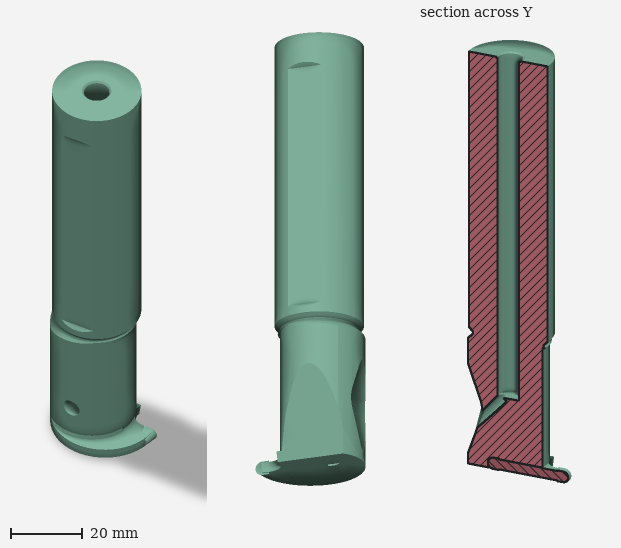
import cadquery as cq
import math

total_height = 125
shank_radius = 12.5
shank_bottom = 41.9
flat_width = 10
flat_bottom = 44.9
flat_top = 115.4

neck_radius = 11.2
neck_top = shank_bottom - (shank_radius - neck_radius)
head_cone_height = 51.2
neck_bottom = 40.1
neck_flare_radius = 11.6
neck_flare_bottom = head_cone_height - neck_flare_radius

bore_radius = 3.6
bore_chamfer = 0.5
bore_bottom = 22.5
outlet_radius = 1.5
outlet_start = cq.Vector(-1.6, -1.1, bore_bottom)
outlet_end = cq.Vector(-8.5, -0.5, 14.9)
outlet_overrun = 6.2

head_bottom = 0.5
flange_top = 3.5
flange_radius = 15.4
flange_center_x = 2.6
head_radius = 12.5
head_center_x = -1.6
corner_x = -9.4
corner_y = math.sqrt(flange_radius**2 - (flange_center_x - corner_x) ** 2)

foot_top = 4.2
foot_flare = 0.6

back_start_height = 27.0
back_bottom_y = 6.9
clearance_radius = 10.4
clearance_center_x = -2.4
clearance_center_y = -0.4
clearance_slope = 0.2
clearance_height = 12.5

hollow_axis_x = -16.8
hollow_axis_y = -1.2
hollow_bottom = 3.5
hollow_top = 31.0
hollow_round_bottom = 14.9
hollow_round_top = 20.1
hollow_end_radius = 4.0
hollow_edge_radius = 8.1
hollow_max_radius = 8.5

side_hole_radius = 2.5
side_hole_x = -1.5
side_hole_z = 13.5
side_hole_depth = 3.8
side_hole_lead = 1.2
side_hole_direction = cq.Vector(0.2, 1, -0.3)

insert_tip_x = 19.1
insert_tail_x = -6.6
insert_head_length = 4.0
insert_head_radius = 2.0
insert_bar_start = insert_tail_x + insert_head_length / 2
insert_bar_end = insert_tip_x - insert_head_length / 2
insert_back_y = 0
seat_wall_y = 0.4
insert_front_y = -4.1
insert_relief_angle = 12

chip_radius = 5.2
chip_center_x = 14.9
chip_length = 12.5

reach = 37.5


def disc(center_x, radius, bottom, top):
    return cq.Workplane("XY", origin=(center_x, 0, bottom)).circle(radius).extrude(top - bottom)


def drill(start, direction, radius, depth):
    return cq.Workplane(obj=cq.Solid.makeCylinder(radius, depth, start, direction))


def make_shank():
    return (
        cq.Workplane("XZ")
        .polyline([
            (0, neck_flare_bottom),
            (neck_flare_radius, neck_flare_bottom),
            (neck_radius, neck_bottom),
            (neck_radius, neck_top),
            (shank_radius, shank_bottom),
            (shank_radius, total_height),
            (0, total_height),
        ])
        .close()
        .revolve(360, (0, 0, 0), (0, 1, 0))
    )


def make_flat_cut(side):
    """Flat with 45 degree ends, on the +Y (side = 1) or -Y (side = -1) of the shank."""
    flat_y = math.sqrt(shank_radius**2 - (flat_width / 2) ** 2)
    run_out = shank_radius - flat_y
    return (
        cq.Workplane("YZ")
        .polyline([
            (side * flat_y, flat_bottom),
            (side * shank_radius, flat_bottom - run_out),
            (side * shank_radius, flat_top + run_out),
            (side * flat_y, flat_top),
        ])
        .close()
        .extrude(shank_radius, both=True)
    )


def make_head():
    flange_left = flange_center_x - flange_radius
    head_right = head_center_x + head_radius
    post = (
        cq.Workplane("XY", origin=(0, 0, head_bottom))
        .moveTo(corner_x, corner_y)
        .threePointArc((flange_left, 0), (corner_x, -corner_y))
        .threePointArc((head_right, 0), (corner_x, corner_y))
        .close()
        .extrude(neck_flare_bottom - head_bottom)
    )
    cone_radius = head_cone_height - head_bottom
    cone_height = neck_flare_bottom - head_bottom
    top_cone = cq.Solid.makeCone(cone_radius, neck_flare_radius, cone_height, cq.Vector(0, 0, head_bottom))
    return post.intersect(cq.Workplane(obj=top_cone))


def make_foot():
    """Conical flare around the foot of the head, in front of the insert only."""
    foot_height = foot_top - flange_top
    flare = cq.Solid.makeCone(
        head_radius + foot_flare, head_radius, foot_height, cq.Vector(head_center_x, 0, flange_top)
    )
    front = (
        cq.Workplane("XY", origin=(0, insert_front_y - reach / 2, flange_top))
        .rect(reach, reach)
        .extrude(foot_height)
    )
    flange_disc = disc(flange_center_x, flange_radius, flange_top, foot_top)
    return cq.Workplane(obj=flare).intersect(front).intersect(flange_disc)


def make_flange():
    flange = disc(flange_center_x, flange_radius, head_bottom, flange_top)
    chip_center_y = seat_wall_y + chip_radius
    chip_round = (
        cq.Workplane("XY", origin=(chip_center_x, chip_center_y, 0)).circle(chip_radius).extrude(flange_top)
    )
    chip_open = (
        cq.Workplane("XY", origin=(chip_center_x, seat_wall_y, 0))
        .rect(chip_length, 2 * chip_radius, centered=False)
        .extrude(flange_top)
    )
    tip_open = (
        cq.Workplane("XY", origin=(insert_bar_end, insert_back_y, 0))
        .rect(chip_length, chip_radius, centered=False)
        .extrude(flange_top)
    )
    return flange.cut(chip_round).cut(chip_open).cut(tip_open)


def make_back_cut():
    slope = (shank_radius - back_bottom_y) / (back_start_height - head_bottom)
    return (
        cq.Workplane("YZ")
        .polyline([
            (back_bottom_y - slope * head_bottom, 0),
            (shank_radius, back_start_height),
            (reach, back_start_height),
            (reach, 0),
        ])
        .close()
        .extrude(reach, both=True)
    )


def make_clearance_cut():
    """Everything outside a steep cone, limited to the -X, +Y corner of the head."""
    corner = (
        cq.Workplane("XY", origin=(clearance_center_x, clearance_center_y, head_bottom))
        .rect(-reach, reach, centered=False)
        .extrude(clearance_height)
    )
    cone = cq.Solid.makeCone(
        clearance_radius,
        clearance_radius + clearance_slope * clearance_height,
        clearance_height,
        cq.Vector(clearance_center_x, clearance_center_y, head_bottom),
    )
    return corner.cut(cq.Workplane(obj=cone))


def make_hollow():
    hollow_middle = (hollow_bottom + hollow_top) / 2
    return (
        cq.Workplane("XZ", origin=(hollow_axis_x, hollow_axis_y, 0))
        .moveTo(0, hollow_bottom)
        .lineTo(hollow_end_radius, hollow_bottom)
        .lineTo(hollow_edge_radius, hollow_round_bottom)
        .threePointArc((hollow_max_radius, hollow_middle), (hollow_edge_radius, hollow_round_top))
        .lineTo(hollow_end_radius, hollow_top)
        .lineTo(0, hollow_top)
        .close()
        .revolve(360, (0, 0, 0), (0, 1, 0))
    )


def make_bore():
    bore = disc(0, bore_radius, bore_bottom, total_height)
    mouth = cq.Solid.makeCone(
        bore_radius, bore_radius + bore_chamfer, bore_chamfer, cq.Vector(0, 0, total_height - bore_chamfer)
    )
    return bore.union(cq.Workplane(obj=mouth))


def make_outlet():
    path = outlet_end - outlet_start
    return drill(outlet_start, path, outlet_radius, path.Length + outlet_overrun)


def make_side_hole():
    mouth = cq.Vector(side_hole_x, -shank_radius, side_hole_z)
    start = mouth - side_hole_direction * side_hole_lead
    return drill(start, side_hole_direction, side_hole_radius, side_hole_lead + side_hole_depth)


def make_insert_head(end_x, inward):
    """Full-radius head that narrows away from its cutting face; inward is the X sense toward the bar."""
    center_x = end_x + inward * insert_head_radius
    shoulder_x = end_x + inward * insert_head_length
    diameter = 2 * insert_head_radius
    return (
        cq.Workplane("XZ", origin=(0, insert_back_y, 0))
        .moveTo(shoulder_x, 0)
        .lineTo(center_x, 0)
        .threePointArc((end_x, insert_head_radius), (center_x, diameter))
        .lineTo(shoulder_x, diameter)
        .close()
        .extrude(insert_back_y - insert_front_y, taper=insert_relief_angle)
    )


def make_insert():
    bar = (
        cq.Workplane("XY", origin=(insert_bar_start, insert_front_y, head_bottom))
        .rect(insert_bar_end - insert_bar_start, seat_wall_y - insert_front_y, centered=False)
        .extrude(flange_top - head_bottom)
    )
    return bar.union(make_insert_head(insert_tip_x, -1)).union(make_insert_head(insert_tail_x, 1))


def make_holder(insert):
    holder = make_shank()
    for side in (1, -1):
        holder = holder.cut(make_flat_cut(side))
    return (
        holder.union(make_head())
        .union(make_foot())
        .union(make_flange())
        .cut(make_back_cut())
        .cut(make_clearance_cut())
        .cut(make_hollow())
        .cut(make_bore())
        .cut(make_outlet())
        .cut(make_side_hole())
        .cut(insert)
    )


insert = make_insert()
holder = make_holder(insert)
result = cq.Compound.makeCompound([holder.solids().val(), insert.solids().val()])